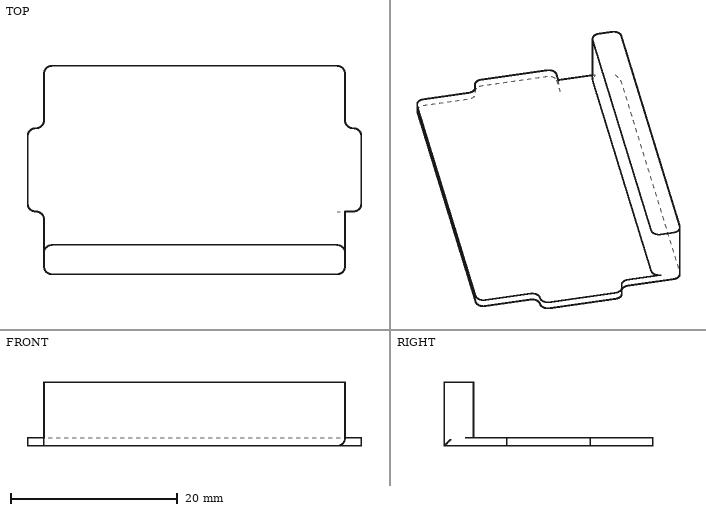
import cadquery as cq

length = 40.0
depth = 25.0
height = 7.65

plate_thickness = 1.0
body_width = 36.1
wall_thickness = 3.5
tab_depth = 10.0
tab_front = 7.5
corner_radius = 0.95

front_y = -depth / 2
side_x = body_width / 2
tab_y = front_y + tab_front
tab_center_y = tab_y + tab_depth / 2


def make_plate():
    """Flat plate with a tab on each side and rounded outline corners."""
    body = cq.Workplane("XY").rect(body_width, depth).extrude(plate_thickness)
    tabs = cq.Workplane("XY").center(0, tab_center_y).rect(length, tab_depth).extrude(plate_thickness)
    plate = body.union(tabs)

    sharp_corner = cq.selectors.BoxSelector(
        (side_x - corner_radius, tab_y - corner_radius, 0),
        (side_x + corner_radius, tab_y + corner_radius, plate_thickness),
    )
    return plate.edges(cq.selectors.SubtractSelector(cq.selectors.ParallelDirSelector(cq.Vector(0, 0, 1)),
                                                     sharp_corner)).fillet(corner_radius)


def make_wall():
    """Upright wall along the front edge, rounded at its four vertical corners."""
    return (
        cq.Workplane("XY")
        .center(0, front_y + wall_thickness / 2)
        .rect(body_width, wall_thickness)
        .extrude(height - plate_thickness)
        .edges("|Z")
        .fillet(corner_radius)
        .translate((0, 0, plate_thickness))
    )


def make_edge_rounding():
    """Cutter that rounds the lower right edge from the front face to the tab."""
    strip = (
        cq.Workplane("XY")
        .box(corner_radius, tab_front, corner_radius, centered=False)
        .translate((side_x - corner_radius, front_y, 0))
    )
    round_core = (
        cq.Workplane("XZ", origin=(side_x - corner_radius, front_y, corner_radius))
        .circle(corner_radius)
        .extrude(-tab_front)
    )
    return strip.cut(round_core)


result = make_plate().union(make_wall()).cut(make_edge_rounding())